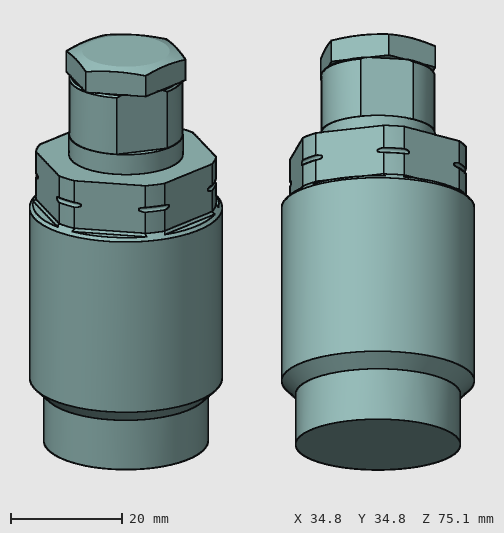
import cadquery as cq
import math

height = 75.1

body_diameter = 34.8
body_radius = body_diameter / 2
spigot_radius = 14.9
spigot_height = 9.55
body_lower_edge_z = spigot_height + body_radius - spigot_radius
body_upper_edge_z = 44.9

nut_corner_radius = 16.3
nut_across_flats = 29.9
nut_top_z = 55.2
nut_foot_z = body_upper_edge_z + body_radius - nut_corner_radius
flat_floor_z = 45.5
foot_bevel_width = 0.4
foot_bevel_height = 0.5
groove_z = 50.6
groove_radius = 0.45

collar_radius = 10.3
collar_top_z = 59.05
neck_radius = 10.2
neck_across_flats = 18.0
neck_chamfer = 0.4

head_across_flats = 19.0
head_height = 4.8
head_face_radius = 7.9
head_bevel_angle = 15.0


def hexagon(across_flats, bottom_z, top_z):
    """Hexagonal prism with corners on the X axis."""
    across_corners = across_flats / math.cos(math.pi / 6)
    prism = cq.Workplane("XY").polygon(6, across_corners).extrude(top_z - bottom_z)
    return prism.translate((0, 0, bottom_z))


def revolved(profile):
    """Solid turned about Z from (radius, z) points."""
    return cq.Workplane("XZ").polyline(profile).close().revolve(360, (0, 0, 0), (0, 1, 0))


def make_turned_body():
    """Spigot, body, round nut blank with its half-round groove, and collar."""
    blank = revolved([
        (0, 0),
        (spigot_radius, 0),
        (spigot_radius, spigot_height),
        (body_radius, body_lower_edge_z),
        (body_radius, body_upper_edge_z),
        (nut_corner_radius, nut_foot_z),
        (nut_corner_radius, nut_top_z),
        (collar_radius, nut_top_z),
        (collar_radius, collar_top_z),
        (0, collar_top_z),
    ])
    groove = cq.Solid.makeTorus(nut_corner_radius, groove_radius, cq.Vector(0, 0, groove_z))
    return blank.cut(cq.Workplane(obj=groove))


def cut_nut_flats(body):
    """Mill six flats, leaving a small bevel at the foot of each."""
    apothem = nut_across_flats / 2
    flat_cutter = (
        cq.Workplane("YZ")
        .polyline([
            (apothem + foot_bevel_width, flat_floor_z),
            (body_radius + 0.75, flat_floor_z),
            (body_radius + 0.75, nut_top_z),
            (apothem, nut_top_z),
            (apothem, flat_floor_z + foot_bevel_height),
        ])
        .close()
        .extrude(body_radius, both=True)
    )
    for side in range(6):
        body = body.cut(flat_cutter.rotate((0, 0, 0), (0, 0, 1), 60 * side))
    return body


def make_neck():
    """Round neck with two flats facing along X."""
    neck_height = height - head_height - collar_top_z
    neck = cq.Workplane("XY").circle(neck_radius).extrude(neck_height)
    neck = neck.faces(">Z").chamfer(neck_chamfer)
    flats = cq.Workplane("XY").rect(neck_across_flats, 2 * neck_radius).extrude(neck_height)
    return neck.intersect(flats).translate((0, 0, collar_top_z))


def make_head():
    """Hexagonal head with a conical bevel round its top face."""
    base_z = height - head_height
    corner_radius = head_across_flats / 2 / math.cos(math.pi / 6)
    bevel_drop = (corner_radius - head_face_radius) * math.tan(math.radians(head_bevel_angle))
    envelope = revolved([
        (0, base_z),
        (corner_radius, base_z),
        (corner_radius, height - bevel_drop),
        (head_face_radius, height),
        (0, height),
    ])
    return hexagon(head_across_flats, base_z, height).intersect(envelope)


result = cut_nut_flats(make_turned_body()).union(make_neck()).union(make_head())